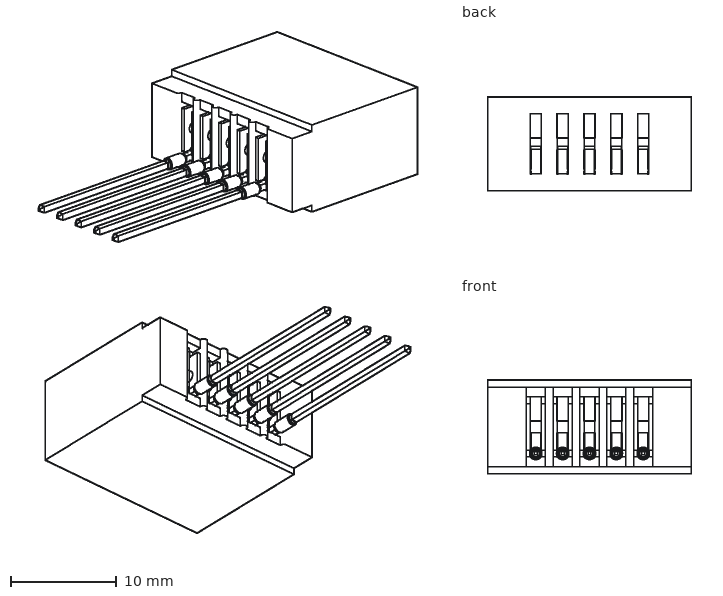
import cadquery as cq

HOUSING_WIDTH = 19.3
HOUSING_LENGTH = 16.4
HOUSING_HEIGHT = 8.9
STEP_LENGTH = 2.6
STEP_DEPTH = 0.67

CONTACT_COUNT = 5
ROW_SPAN = 10.17
PITCH = ROW_SPAN / (CONTACT_COUNT - 1)
CONTACT_X = [i * PITCH - ROW_SPAN / 2 for i in range(CONTACT_COUNT)]

RECESS_WIDTH = 1.8
RECESS_DEPTH = 0.43
RIM_RADIUS = 0.35
SLOT_WIDTH = 1.03
SLOT_HEIGHT = 5.67
END_POCKET_HEIGHT = 0.65
END_POCKET_DEPTH = 1.05
CROSSBAR_RADIUS = 0.55
CROSSBAR_FRONT = 1.05

TAIL_WIDTH = 0.65
TAIL_BOTTOM = -SLOT_HEIGHT / 2
TAIL_TOP = TAIL_BOTTOM + TAIL_WIDTH
TAIL_Z = (TAIL_BOTTOM + TAIL_TOP) / 2
TOTAL_LENGTH = 35.45
TIP_Y = HOUSING_LENGTH - TOTAL_LENGTH
TIP_LENGTH = 0.35
TIP_INSET = 0.18
COLLAR_DIAMETER = 1.17
COLLAR_RADIUS = COLLAR_DIAMETER / 2
COLLAR_START = -0.32
COLLAR_LENGTH = 2.02
COLLAR_CHAMFER = 0.1
NECK_RADIUS = 0.4
NECK_LENGTH = 0.2

STRIP_WIDTH = 0.95
STRIP_THICKNESS = 0.3
STRIP_START = 0.65
RAMP_START = 1.05
RAMP_BEND_Y = 2.0
RAMP_BEND_Z = -1.25
STRIP_END_Y = 3.55
STRIP_END_Z = -0.2


def box(x_size, y_min, y_max, z_min, z_max):
    """Box centred on X = 0 between the given Y and Z limits."""
    return (
        cq.Workplane("XY")
        .box(x_size, y_max - y_min, z_max - z_min, centered=(True, False, False))
        .translate((0, y_min, z_min))
    )


def housing_block():
    """Rectangular block with a thinner end at the terminal face."""
    half = HOUSING_HEIGHT / 2
    step_half = half - STEP_DEPTH
    body = box(HOUSING_WIDTH, STEP_LENGTH, HOUSING_LENGTH, -half, half)
    return body.union(box(HOUSING_WIDTH, 0, STEP_LENGTH, -step_half, step_half))


def recess_cutter():
    """Shallow full-height recess whose rims are convex arcs."""
    half_floor = RECESS_WIDTH / 2
    half_rim = half_floor + RIM_RADIUS
    return (
        cq.Workplane("XY")
        .moveTo(-half_rim, 0)
        .radiusArc((-half_floor, RIM_RADIUS), -RIM_RADIUS)
        .lineTo(-half_floor, RECESS_DEPTH)
        .lineTo(half_floor, RECESS_DEPTH)
        .lineTo(half_floor, RIM_RADIUS)
        .radiusArc((half_rim, 0), -RIM_RADIUS)
        .close()
        .extrude(HOUSING_HEIGHT / 2, both=True)
    )


def slot_cutter():
    """Slot through the housing, widened at its top and bottom behind the recess floor."""
    half = SLOT_HEIGHT / 2
    pocket_end = RECESS_DEPTH + END_POCKET_DEPTH
    slot = box(SLOT_WIDTH, 0, HOUSING_LENGTH, -half, half)
    top_pocket = box(RECESS_WIDTH, 0, pocket_end, half - END_POCKET_HEIGHT, half)
    bottom_pocket = box(RECESS_WIDTH, 0, pocket_end, -half, END_POCKET_HEIGHT - half)
    return slot.union(top_pocket).union(bottom_pocket)


def crossbar():
    """Round bar that spans a slot from wall to wall."""
    return (
        cq.Workplane("YZ")
        .center(CROSSBAR_FRONT + CROSSBAR_RADIUS, 0)
        .circle(CROSSBAR_RADIUS)
        .extrude(SLOT_WIDTH / 2, both=True)
    )


def make_housing():
    body = housing_block()
    for x in CONTACT_X:
        body = body.cut(recess_cutter().translate((x, 0, 0)))
        body = body.cut(slot_cutter().translate((x, 0, 0)))
        body = body.union(crossbar().translate((x, 0, 0)))
    return body


def square_tail():
    """Square wire with a tapered tip."""
    taper_start = TIP_Y + TIP_LENGTH
    tip_width = TAIL_WIDTH - 2 * TIP_INSET
    shank = box(TAIL_WIDTH, taper_start, STRIP_START, TAIL_BOTTOM, TAIL_TOP)
    tip = (
        shank.faces("<Y")
        .workplane(centerOption="CenterOfBoundBox")
        .rect(TAIL_WIDTH, TAIL_WIDTH)
        .workplane(offset=TIP_LENGTH)
        .rect(tip_width, tip_width)
        .loft(combine=False)
    )
    return shank.union(tip)


def collar():
    """Round collar with chamfered ends and a short cone on each side."""
    end = COLLAR_START - COLLAR_LENGTH
    cone_radius = COLLAR_RADIUS - COLLAR_CHAMFER
    profile = [
        (0, COLLAR_START + NECK_LENGTH),
        (NECK_RADIUS, COLLAR_START + NECK_LENGTH),
        (cone_radius, COLLAR_START),
        (COLLAR_RADIUS, COLLAR_START - COLLAR_CHAMFER),
        (COLLAR_RADIUS, end + COLLAR_CHAMFER),
        (cone_radius, end),
        (NECK_RADIUS, end - NECK_LENGTH),
        (0, end - NECK_LENGTH),
    ]
    turned = cq.Workplane("XY").polyline(profile).close().revolve(360, (0, 0, 0), (0, 1, 0))
    return turned.translate((0, 0, TAIL_Z))


def spring_strip():
    """Strip that leaves the tail and climbs in two slopes to end behind the crossbar."""
    profile = [
        (STRIP_START, TAIL_BOTTOM),
        (STRIP_START, TAIL_TOP),
        (RAMP_START, TAIL_TOP),
        (RAMP_BEND_Y, RAMP_BEND_Z),
        (STRIP_END_Y, STRIP_END_Z),
        (STRIP_END_Y, STRIP_END_Z - STRIP_THICKNESS),
        (RAMP_BEND_Y + STRIP_THICKNESS, RAMP_BEND_Z - STRIP_THICKNESS),
        (RAMP_START + STRIP_THICKNESS, TAIL_BOTTOM),
    ]
    return cq.Workplane("YZ").polyline(profile).close().extrude(STRIP_WIDTH / 2, both=True)


def make_contact(x):
    body = square_tail().union(collar()).union(spring_strip())
    return body.translate((x, 0, 0))


housing = make_housing()
contacts = [make_contact(x) for x in CONTACT_X]

result = cq.Compound.makeCompound([housing.val(), *[contact.val() for contact in contacts]])